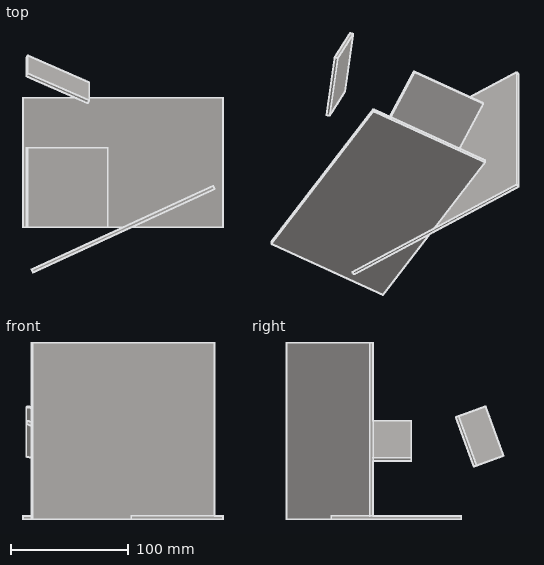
import cadquery as cq

sheet_thickness = 3.0
sheet_length = 170.0

base_depth = 110.3

panel_height = 150.0
panel_yaw = 24.7
panel_center_x = 85.0
panel_center_y = -1.5

shelf_length = 75.1
shelf_width = 67.9
shelf_slope = 25
shelf_center_x = 37.5
shelf_center_z = 66.6

leaning_length = 57.8
leaning_height = 44.8
leaning_yaw = -25
leaning_tilt = 20
leaning_center = (29.5, 125.8, 70.3)


def make_panel():
    """Upright rectangular panel whose lower edge is level with the base underside."""
    return (
        cq.Workplane("XY")
        .box(sheet_length, sheet_thickness, panel_height, centered=(True, True, False))
        .rotate((0, 0, 0), (0, 0, 1), panel_yaw)
        .translate((panel_center_x, panel_center_y, 0))
    )


def make_base(standing_panel):
    """Flat base with a slot, open at the front edge, that fits the panel."""
    plate = cq.Workplane("XY").box(sheet_length, base_depth, sheet_thickness, centered=False)
    return plate.cut(standing_panel).solids()


def make_shelf():
    """Sloping shelf, highest at its -X end."""
    return (
        cq.Workplane("XY")
        .box(shelf_length, shelf_width, sheet_thickness)
        .rotate((0, 0, 0), (0, 1, 0), shelf_slope)
        .translate((shelf_center_x, shelf_width / 2, shelf_center_z))
    )


def make_leaning_plate():
    """Small plate turned about the vertical and leaned toward the front."""
    return (
        cq.Workplane("XY")
        .box(leaning_length, sheet_thickness, leaning_height)
        .rotate((0, 0, 0), (0, 0, 1), leaning_yaw)
        .rotate((0, 0, 0), (1, 0, 0), leaning_tilt)
        .translate(leaning_center)
    )


panel = make_panel()
base = make_base(panel)
shelf = make_shelf()
leaning_plate = make_leaning_plate()

result = cq.Compound.makeCompound(
    [base.val(), panel.val(), shelf.val(), leaning_plate.val()]
)